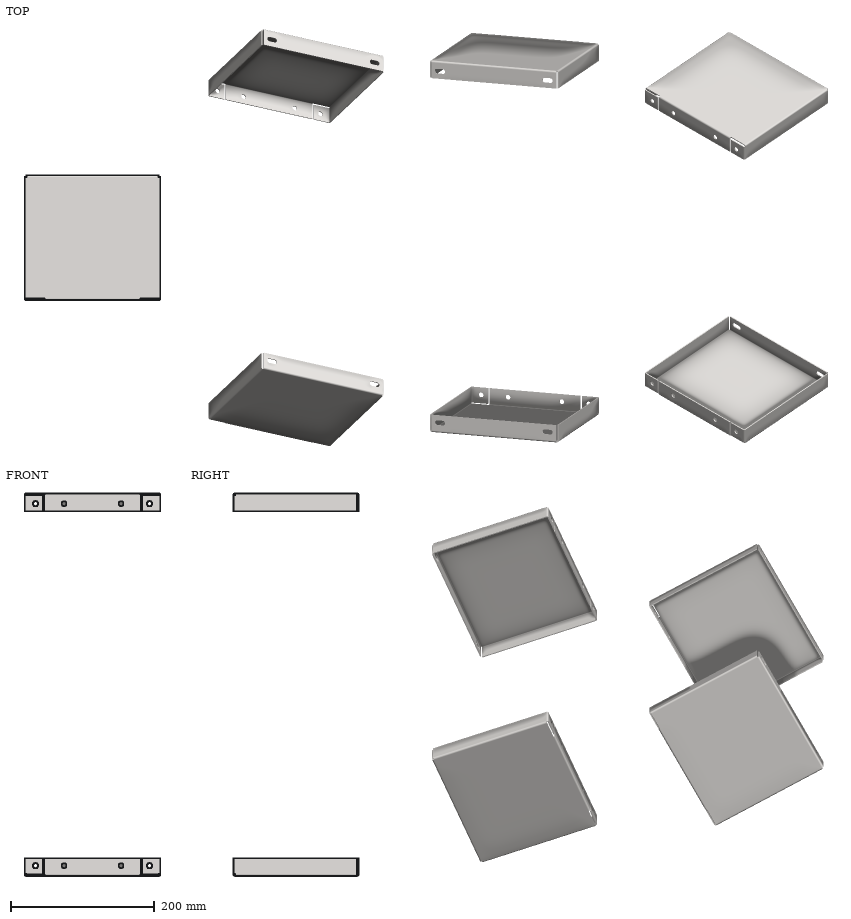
import cadquery as cq
import math

width = 190.0
depth = 175.0
pair_height = 535.0
tray_height = 25.0

thickness = 1.5
bend_radius = 2.5
inner_radius = bend_radius - thickness
cos_mid_bend = math.cos(math.radians(45))

tab_gap = 2.0
flange_half_width = 67.5

hole_diameter = 7.0
hole_height = 14.5
outer_hole_offset = 79.5
inner_hole_offset = outer_hole_offset / 2
slot_length = 15.0

half_width = width / 2
half_depth = depth / 2
tab_half_width = flange_half_width + tab_gap
side_wall_length = depth - 2 * bend_radius
side_wall_front = -half_depth + bend_radius


def bent_strip(plane, corner_x, wall_height, floor_end, length):
    """L-shaped strip: a wall with its outer face at corner_x, a bend, and a leg in to floor_end."""
    inward = 1 if floor_end > corner_x else -1
    mid_outer = bend_radius * (1 - cos_mid_bend)
    mid_inner = bend_radius - inner_radius * cos_mid_bend
    bend_end = corner_x + inward * bend_radius
    inner_face = corner_x + inward * thickness
    return (
        cq.Workplane(plane)
        .moveTo(floor_end, 0)
        .lineTo(bend_end, 0)
        .threePointArc((corner_x + inward * mid_outer, mid_outer), (corner_x, bend_radius))
        .lineTo(corner_x, wall_height)
        .lineTo(inner_face, wall_height)
        .lineTo(inner_face, bend_radius)
        .threePointArc((corner_x + inward * mid_inner, mid_inner), (bend_end, thickness))
        .lineTo(floor_end, thickness)
        .close()
        .extrude(length)
    )


def side_wall(side):
    """Side wall with its bend, running between the front and rear bends."""
    plane = cq.Plane(origin=(0, side_wall_front, 0), xDir=(1, 0, 0), normal=(0, -1, 0))
    return bent_strip(plane, side * half_width, tray_height, 0, -side_wall_length)


def end_flange(end, half_length):
    """Front (end = -1) or rear (end = 1) flange with its bend."""
    plane = cq.Plane(origin=(-half_length, 0, 0), xDir=(0, 1, 0), normal=(1, 0, 0))
    return bent_strip(plane, end * half_depth, tray_height, 0, 2 * half_length)


def corner_tab(side):
    """Tab continuing the side wall round a vertical bend onto the front face."""
    plane = cq.Plane(origin=(0, -half_depth, bend_radius), xDir=(1, 0, 0), normal=(0, 0, 1))
    return bent_strip(
        plane, side * half_width, 2 * bend_radius, side * tab_half_width, tray_height - bend_radius
    )


def front_holes():
    """Cutters for the row of round holes through the front face only."""
    offsets = [-outer_hole_offset, -inner_hole_offset, inner_hole_offset, outer_hole_offset]
    return (
        cq.Workplane("XZ")
        .pushPoints([(x, hole_height) for x in offsets])
        .circle(hole_diameter / 2)
        .extrude(depth)
    )


def rear_slots():
    """Cutters for the two slots in the rear flange, facing the outer front holes."""
    return (
        cq.Workplane("XZ")
        .pushPoints([(side * outer_hole_offset, hole_height) for side in (-1, 1)])
        .slot2D(slot_length, hole_diameter)
        .extrude(-depth)
    )


def tray():
    """Open tray folded from one sheet, its floor underside at Z = 0."""
    body = end_flange(-1, flange_half_width).union(end_flange(1, half_width - bend_radius))
    for side in (-1, 1):
        body = body.union(side_wall(side)).union(corner_tab(side))
    return body.cut(front_holes()).cut(rear_slots()).clean()


lower_tray = tray()
upper_tray = lower_tray.mirror("XY").translate((0, 0, pair_height))

result = cq.Compound.makeCompound([lower_tray.val(), upper_tray.val()])